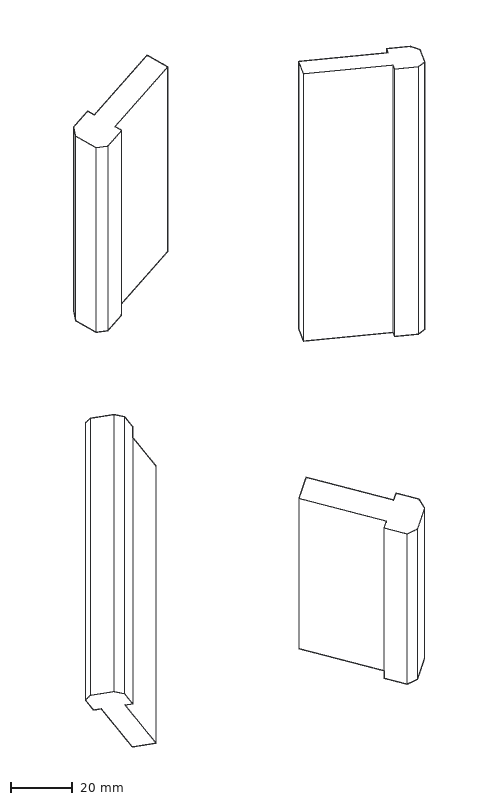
import cadquery as cq

height = 100.0
depth = 40.0
head_width = 13.5

web_thickness = 8.2
head_depth = 10.5
head_chamfer = 2.7

head = (
    cq.Workplane("XY")
    .box(head_width, head_depth, height, centered=(True, False, False))
    .edges("|Z and <Y")
    .chamfer(head_chamfer)
)

web_depth = depth - head_depth
web = (
    cq.Workplane("XY")
    .box(web_thickness, web_depth, height, centered=(True, False, False))
    .translate((0, head_depth, 0))
)

result = head.union(web)